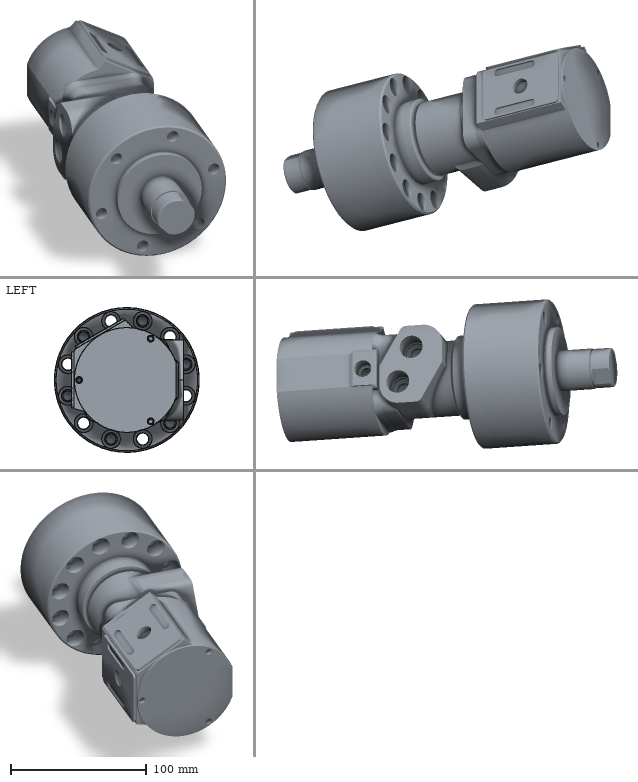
import cadquery as cq
import math


lid_end = 1.7
cover_end = 72.0
barrel_end = 129.7
boss_start = 131.5
drum_start = 144.5
drum_joint = 156.3
drum_end = 201.7
collar_end = 207.1
relief_start = 231.8
rod_end = 246.5

cover_radius = 38.7
cover_flat = 36.5
lid_hole_circle = 35.3
lid_thread = (2.5, 3.7)
lid_drill = (1.7, 6.2)

mount_face = 39.0
mount_half_width = 21.2
mount_flare = math.tan(math.radians(15))
mount_root = 19.7
plate_angles = (0, 60)
plate_thickness = 1.7
plate_start = 3.2
plate_length = 62.6
plate_width = 41.5
plate_corner = 3.0
slot_length = 34.0
slot_width = 6.0
slot_offset = 16.3
slot_middle = 39.5
sight_hole_middle = 34.8
sight_hole_radius = 6.2
sight_hole_depth = 5.5

flange_half = 30.0
flange_corner = 9.5
flange_start = 77.7
flange_end = 88.0
blend_end = 92.0
flare_growth = 1.5
barrel_radius = 27.9
barrel_chamfer = 1.0
drain_start = 55.0
drain_ramp = 3.0
drain_end = 75.7
drain_face = 38.2
drain_half_width = 12.8
drain_chamfer = 2.0
drain_bevel = 1.5
drain_root = 12.3
drain_port_x = 65.5
drain_counterbore = (6.5, 12.3)
drain_thread = (4.2, 17.3)
drain_drill = (3.5, 19.7)

block_middle = 102.8
block_half_length = 23.7
block_face = 42.0
block_top = 29.5
block_end_slope = math.tan(math.radians(30))
block_end_reach = 8.6
block_draft = 1.0
block_large_round = 14.8
block_small_round = 5.0
block_slant = math.tan(math.radians(30))
port_centres = ((103.0, 13.0), (93.0, -13.0))
port_thread = (8.6, 17.3)
port_core = (8.0, 19.7)
port_drill = (5.2, 24.7)

drum_radius = 53.5
drum_chamfer = 1.2
boss_radius = 31.0
neck_radius = 20.0
boss_chamfer = 0.7
collar_radius = 32.5
bolt_circle = 45.1
bolt_count = 12
bolt_counterbore = (7.0, drum_joint - drum_start)
through_radius = 4.5
tapped_thread = (4.7, 24.7)
tapped_drill = (3.7, 29.5)

rod_radius = 15.0
relief_width = 1.2
relief_radius = 13.8
rod_tip_radius = 14.5
rod_tip_chamfer = 0.7
rod_flat = 13.0
rod_flat_start = 233.8
rod_flat_angle = 45

drill_point = math.tan(math.radians(59))


def disc(start, end, radius):
    """Round stretch about the X axis."""
    return cq.Workplane("YZ").workplane(offset=start).circle(radius).extrude(end - start)


def drilled_hole(point, direction, radius, depth):
    """Cutter for a round hole that ends in a drill point."""
    tip = depth + radius / drill_point
    profile = cq.Workplane("XZ").polyline([(0, 0), (radius, 0), (radius, depth), (0, tip)]).close()
    cutter = profile.revolve(360, (0, 0, 0), (0, 1, 0)).val()
    return cutter.moved(cq.Location(cq.Plane(point, normal=direction)))


def plain_hole(point, direction, radius, depth):
    """Cutter for a flat-bottomed round hole."""
    return cq.Solid.makeCylinder(radius, depth, cq.Vector(point), cq.Vector(direction))


def on_circle(x, radius, angle):
    """Point at X on a circle about the X axis, with the angle measured from +Y towards +Z."""
    turn = math.radians(angle)
    return (x, radius * math.cos(turn), radius * math.sin(turn))


def flat_cutter(distance, angle, start, end):
    """Cutter that leaves a flat at a distance from the X axis, facing the given angle."""
    size = 2 * cover_radius
    box = cq.Workplane("XY").box(end - start, size, size, centered=(False, False, True))
    return box.translate((start, distance, 0)).rotate((0, 0, 0), (1, 0, 0), angle)


def cut_threaded_hole(body, point, direction, thread, *drills):
    """Sink a thread and the narrower drillings below it, each given as radius and depth."""
    body = body.cut(cq.Workplane(plain_hole(point, direction, *thread)))
    for drill in drills:
        body = body.cut(cq.Workplane(drilled_hole(point, direction, *drill)))
    return body


def cut_lid_holes(body):
    for angle in (0, 120, 240):
        point = on_circle(0, lid_hole_circle, angle)
        body = cut_threaded_hole(body, point, (1, 0, 0), lid_thread, lid_drill)
    return body


def make_lid():
    lid = disc(0, lid_end, cover_radius)
    lid = lid.cut(flat_cutter(cover_flat, 180, 0, lid_end))
    return cut_lid_holes(lid)


def turned(point, angle):
    """A (Y, Z) point turned about the X axis."""
    turn = math.radians(angle)
    y, z = point
    return (y * math.cos(turn) - z * math.sin(turn), y * math.sin(turn) + z * math.cos(turn))


def make_mounts():
    """Flats that carry the plates, joined by a short edge and flared into the round cover."""
    root_half_width = mount_half_width + (mount_face - mount_root) * mount_flare
    first, last = plate_angles
    outline = [turned((mount_root, -root_half_width), first)]
    for angle in plate_angles:
        outline.append(turned((mount_face, -mount_half_width), angle))
        outline.append(turned((mount_face, mount_half_width), angle))
    outline.append(turned((mount_root, root_half_width), last))
    section = cq.Workplane("YZ").workplane(offset=lid_end).polyline(outline).close()
    return section.extrude(cover_end - lid_end)


def make_cover(drain):
    cover = disc(lid_end, cover_end, cover_radius)
    cover = cover.cut(flat_cutter(cover_flat, 180, lid_end, cover_end))
    cover = cover.union(make_mounts())
    for angle in plate_angles:
        point = on_circle(sight_hole_middle, mount_face, angle)
        inward = on_circle(0, -1, angle)
        depth = sight_hole_depth - plate_thickness
        cover = cover.cut(cq.Workplane(plain_hole(point, inward, sight_hole_radius, depth)))
    return cut_lid_holes(cover).cut(drain)


def make_plate(angle):
    """Slotted sensor plate on the mount that faces the given angle."""
    face = cq.Workplane(cq.Plane((0, mount_face, 0), xDir=(1, 0, 0), normal=(0, 1, 0)))
    plate = face.center(plate_start + plate_length / 2, 0).rect(plate_length, plate_width)
    plate = plate.extrude(plate_thickness).edges("|Y").fillet(plate_corner)
    slots = face.pushPoints([(slot_middle, slot_offset), (slot_middle, -slot_offset)])
    plate = plate.cut(slots.slot2D(slot_length, slot_width).extrude(plate_thickness))
    hole = face.center(sight_hole_middle, 0).circle(sight_hole_radius)
    plate = plate.cut(hole.extrude(plate_thickness))
    return plate.rotate((0, 0, 0), (1, 0, 0), angle)


def make_flange():
    """Square flange, flared towards the cover and blended into the round barrel."""
    square = cq.Sketch().rect(2 * flange_half, 2 * flange_half).vertices().fillet(flange_corner)
    wide_half = flange_half + flare_growth
    wide = cq.Sketch().rect(2 * wide_half, 2 * wide_half).vertices().fillet(flange_corner + flare_growth)
    flange = cq.Workplane("YZ").workplane(offset=flange_start).placeSketch(square)
    flange = flange.extrude(flange_end - flange_start)
    flare = cq.Workplane("YZ").workplane(offset=cover_end)
    flare = flare.placeSketch(wide, square.moved(cq.Location((0, 0, flange_start - cover_end)))).loft()
    round_end = cq.Sketch().circle(barrel_radius)
    blend = cq.Workplane("YZ").workplane(offset=flange_end)
    blend = blend.placeSketch(square, round_end.moved(cq.Location((0, 0, blend_end - flange_end)))).loft()
    return flange.union(flare).union(blend)


def make_drain():
    """Drain block that reaches back into a notch of the cover, with a wider foot past the cover."""
    side = [
        (drain_start, -drain_root),
        (drain_start, -cover_flat),
        (drain_start + drain_ramp, -drain_face),
        (drain_end - drain_bevel, -drain_face),
        (drain_end, -drain_face + drain_bevel),
        (drain_end, -drain_root),
    ]
    pad = cq.Workplane("XY").polyline(side).close().extrude(drain_half_width, both=True)
    shoulder = drain_face - drain_chamfer
    foot_half_width = drain_half_width + drain_chamfer
    section = [(-drain_root, -foot_half_width), (-shoulder, -foot_half_width), (-drain_face, -drain_half_width)]
    section += [(y, -z) for y, z in reversed(section)]
    foot = cq.Workplane("YZ").workplane(offset=cover_end).polyline(section).close()
    foot = foot.extrude(drain_end - cover_end)
    foot = foot.intersect(cq.Workplane("XY").polyline(side).close().extrude(foot_half_width, both=True))
    return pad.union(foot)


def make_port_block():
    """Slanted block with drafted sides, from the barrel middle to the port face."""
    half_outline = [
        (-block_half_length, 0),
        (-block_half_length + block_top * block_slant, block_top),
        (block_half_length, block_top),
    ]
    outline = half_outline + [(-x, -z) for x, z in half_outline]
    face = cq.Sketch().polygon(outline + outline[:1])
    face = face.vertices(">(1, 1, 0) or <(1, 1, 0)").fillet(block_large_round).reset()
    face = face.vertices(">(-1, 2, 0) or <(-1, 2, 0)").fillet(block_small_round).reset()
    block = cq.Workplane("XZ").workplane(offset=block_face).placeSketch(face)
    block = block.extrude(-block_face, taper=-block_draft)
    slope_top = barrel_radius + block_end_reach * block_end_slope
    envelope = [
        (-block_face, slope_top),
        (-block_end_reach, slope_top),
        (0, barrel_radius),
    ]
    envelope += [(y, -z) for y, z in reversed(envelope)]
    limits = cq.Workplane("YZ").polyline(envelope).close().extrude(2 * block_half_length, both=True)
    return block.intersect(limits).translate((block_middle, 0, 0))


def make_swivel(drain):
    barrel = disc(flange_end, barrel_end, barrel_radius).faces(">X").chamfer(barrel_chamfer)
    swivel = make_flange().union(barrel).union(make_port_block()).union(drain)
    for x, z in port_centres:
        point = (x, -block_face, z)
        swivel = cut_threaded_hole(swivel, point, (0, 1, 0), port_thread, port_core, port_drill)
    drain_point = (drain_port_x, -drain_face, 0)
    swivel = swivel.cut(cq.Workplane(plain_hole(drain_point, (0, 1, 0), *drain_counterbore)))
    return cut_threaded_hole(swivel, drain_point, (0, 1, 0), drain_thread, drain_drill)


def cut_bolt_holes(body):
    """Counterbored holes, through and blind in turn."""
    step = 360 / bolt_count
    for index in range(bolt_count):
        point = on_circle(drum_start, bolt_circle, (index + 0.5) * step)
        body = body.cut(cq.Workplane(plain_hole(point, (1, 0, 0), *bolt_counterbore)))
        if index % 2 == 0:
            hole = plain_hole(point, (1, 0, 0), through_radius, drum_end - drum_start)
            body = body.cut(cq.Workplane(hole))
        else:
            body = cut_threaded_hole(body, point, (1, 0, 0), tapped_thread, tapped_drill)
    return body


def make_rear_head():
    head = disc(drum_start, drum_joint, drum_radius).faces("<X").chamfer(drum_chamfer)
    head = head.union(disc(boss_start, drum_start, boss_radius).faces("<X").chamfer(boss_chamfer))
    head = head.union(disc(barrel_end, boss_start, neck_radius))
    return cut_bolt_holes(head)


def make_cylinder():
    cylinder = disc(drum_joint, drum_end, drum_radius).faces(">X").chamfer(drum_chamfer)
    cylinder = cylinder.union(disc(drum_end, collar_end, collar_radius))
    return cut_bolt_holes(cylinder)


def make_rod():
    tip_start = relief_start + relief_width
    rod = disc(collar_end, relief_start, rod_radius)
    rod = rod.union(disc(relief_start, tip_start, relief_radius))
    rod = rod.union(disc(tip_start, rod_end, rod_tip_radius).faces(">X").chamfer(rod_tip_chamfer))
    for angle in (rod_flat_angle, rod_flat_angle + 180):
        rod = rod.cut(flat_cutter(rod_flat, angle, rod_flat_start, rod_end))
    return rod


drain_block = make_drain()
lid = make_lid()
cover = make_cover(drain_block)
plates = [make_plate(angle) for angle in plate_angles]
swivel = make_swivel(drain_block)
rear_head = make_rear_head()
cylinder = make_cylinder()
rod = make_rod()

result = cq.Compound.makeCompound([
    lid.val(),
    cover.val(),
    *[plate.val() for plate in plates],
    swivel.val(),
    rear_head.val(),
    cylinder.val(),
    rod.val(),
])